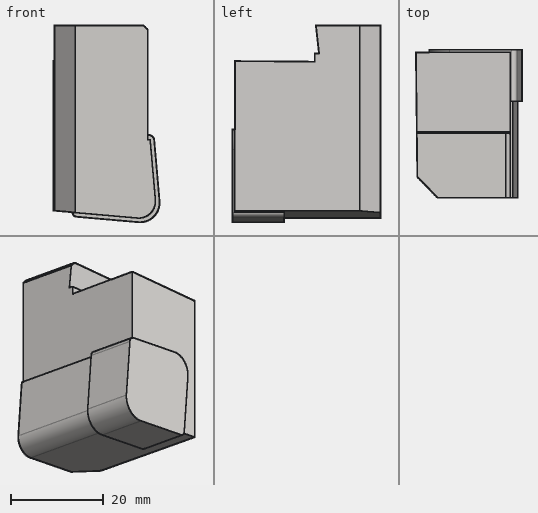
import cadquery as cq
import math

lean = math.radians(5)

block_depth = 31.45
block_height = 42.6
block_width = 20.45
block_max_width = 23
ledge_z = 17.9
top_chamfer = 1.0
left_taper = 0.3
corner_chamfer_x = 4.73
corner_chamfer_y = 4.55

seat_front_z = 34.75
seat_rear_z = 34.87
seat_front_y = 14.25
undercut_z = 36.5
undercut_y = 13.33
jaw_top_y = 14.0

plate_thickness = 0.55
lip_thickness = 0.9
lip_front_y = 20.85
clip_back_y = block_depth + plate_thickness
heel_x = 18.75
heel_z = 4.25
heel_radius = 4.25
block_heel_radius = 3.6
shoulder_x = 6.85
shoulder_z = 16.15
shoulder_radius = 3.95
lip_top_radius = 1.28
lip_end_radius = 1.1


def side_x(z, center_x, center_z, offset):
    """X of a leaning side line lying at a signed distance from a centre."""
    return center_x + (offset - (z - center_z) * math.sin(lean)) / math.cos(lean)


def level_z(x, center_x, center_z, offset):
    """Z of a falling top or bottom line lying at a signed distance from a centre."""
    return center_z + (offset - (x - center_x) * math.sin(lean)) / math.cos(lean)


def corner(side_center, side_offset, level_center, level_offset):
    """Point where a leaning side line meets a falling top or bottom line."""
    side_reach = side_offset + side_center[0] * math.cos(lean) + side_center[1] * math.sin(lean)
    level_reach = level_offset + level_center[0] * math.sin(lean) + level_center[1] * math.cos(lean)
    x = (side_reach * math.cos(lean) - level_reach * math.sin(lean)) / math.cos(2 * lean)
    z = (level_reach * math.cos(lean) - side_reach * math.sin(lean)) / math.cos(2 * lean)
    return (x, z)


def extrude_along_y(points, y_start, y_end):
    """Prism of an XZ outline between two Y positions."""
    return cq.Workplane("XZ", origin=(0, y_start, 0)).polyline(points).close().extrude(y_start - y_end)


def round_corner(body, point, radius):
    """Round the edge along Y that passes nearest to an XZ point."""
    middle = body.val().Center()
    selector = cq.selectors.NearestToPointSelector((point[0], middle.y, point[1]))
    return body.edges("|Y").edges(selector).fillet(radius)


heel = (heel_x, heel_z)
shoulder = (shoulder_x, shoulder_z)


def make_block():
    inner_offset = heel_radius - lip_thickness
    heel_corner = corner(heel, inner_offset, heel, -inner_offset)
    front_outline = [
        (0, level_z(0, heel_x, heel_z, -inner_offset)),
        heel_corner,
        (side_x(ledge_z, heel_x, heel_z, inner_offset), ledge_z),
        (block_width, ledge_z),
        (block_width, block_height - top_chamfer),
        (block_width - top_chamfer, block_height),
        (0, block_height),
    ]
    body = extrude_along_y(front_outline, 0, block_depth)
    body = round_corner(body, heel_corner, block_heel_radius)

    plan = [
        (corner_chamfer_x, 0),
        (block_max_width, 0),
        (block_max_width, block_depth),
        (0, block_depth),
        (left_taper, corner_chamfer_y),
    ]
    body = body.intersect(cq.Workplane("XY").polyline(plan).close().extrude(block_height))

    notch = [
        (jaw_top_y, block_height),
        (undercut_y, undercut_z),
        (seat_front_y, undercut_z),
        (seat_front_y, seat_front_z),
        (block_depth, seat_rear_z),
        (block_depth, block_height),
    ]
    return body.cut(cq.Workplane("YZ").polyline(notch).close().extrude(block_max_width))


def make_clip(block):
    lower_right = corner(heel, heel_radius, heel, -heel_radius)
    upper_right = corner(heel, heel_radius, shoulder, shoulder_radius)
    upper_left = corner(shoulder, -shoulder_radius, shoulder, shoulder_radius)
    lower_left = corner(shoulder, -shoulder_radius, heel, -heel_radius)
    outline = [lower_left, lower_right, upper_right, upper_left]
    body = extrude_along_y(outline, lip_front_y, clip_back_y)
    body = round_corner(body, lower_left, lip_end_radius)
    body = round_corner(body, lower_right, heel_radius)
    body = round_corner(body, upper_right, lip_top_radius)
    body = round_corner(body, upper_left, shoulder_radius)
    return body.cut(block)


block = make_block()
clip = make_clip(block)

result = cq.Compound.makeCompound([block.solids().val(), clip.solids().val()])